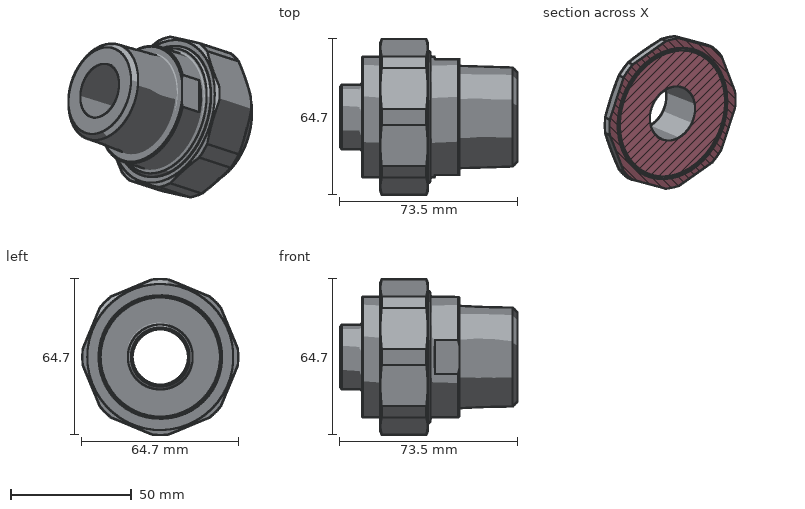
import cadquery as cq
import math


OVERALL_LENGTH = 73.5
BORE_RADIUS = 22.9 / 2
COLLAR_RADIUS = 50.0 / 2
THREAD_RADIUS = 55.85 / 2
REVOLVE_ANGLE = 360

NUT_START = 16.5
NUT_LENGTH = 20.0
NUT_END = NUT_START + NUT_LENGTH
NUT_CORNER_RADIUS = 64.68 / 2
NUT_SIDES = 8
NUT_ACROSS_FLATS = 62.0
NUT_BACK_CHAMFER = 0.8
NUT_FRONT_CHAMFER = 0.8
NUT_BACK_FACE_RADIUS = 30.25
NUT_FRONT_FACE_RADIUS = 30.4
NUT_LIP_RADIUS = 50.5 / 2
NUT_LIP_LENGTH = 4.0
NUT_LIP_CHAMFER = 0.35

SPIGOT_RADIUS = 26.9 / 2
SPIGOT_BEVEL_LENGTH = 0.75
SPIGOT_BEVEL_DEPTH = 1.25
SPIGOT_FILLET = 1.0
BORE_CHAMFER = 0.25
HUB_START = 9.15
HUB_CHAMFER = 0.3
FLANGE_START = NUT_START + NUT_LIP_LENGTH
FLANGE_LENGTH = 4.5
FLANGE_RADIUS = 54.0 / 2
FLANGE_END = FLANGE_START + FLANGE_LENGTH

UNION_THREAD_END = 37.5
UNION_THREAD_CHAMFER = 1.3
COLLAR_FILLET = 0.7
COLLAR_END = 49.4
COLLAR_CHAMFER = 0.5
PIPE_THREAD_FILLET = 0.65
PIPE_THREAD_START = COLLAR_END + PIPE_THREAD_FILLET
PIPE_THREAD_TIP_RADIUS = 20.57
PIPE_THREAD_TIP_CHAMFER = 2.1
PIPE_THREAD_TAPER = 1 / 32
PIPE_THREAD_TIP = OVERALL_LENGTH - PIPE_THREAD_TIP_CHAMFER
PIPE_THREAD_ROOT_RADIUS = PIPE_THREAD_TIP_RADIUS + PIPE_THREAD_TAPER * (PIPE_THREAD_TIP - PIPE_THREAD_START)
WRENCH_FLAT_START = 39.35
WRENCH_FLAT_DISTANCE = 48.0 / 2
WRENCH_FLAT_RUNOUT = 0.2


def fillet_middle(center_x, center_radius, fillet, direction):
    """Midpoint of a concave quarter-circle fillet, toward -X or +X from its centre."""
    offset = fillet * math.sqrt(0.5)
    return (center_x + direction * offset, center_radius - offset)


def revolve(profile):
    """Revolve a closed (x, radius) profile about the X axis."""
    return profile.close().revolve(REVOLVE_ANGLE, (0, 0, 0), (1, 0, 0))


def make_tailpiece():
    fillet_radius_end = SPIGOT_RADIUS + SPIGOT_FILLET
    fillet_start = HUB_START - SPIGOT_FILLET
    profile = (
        cq.Workplane("XY")
        .moveTo(BORE_CHAMFER, BORE_RADIUS)
        .lineTo(0, BORE_RADIUS + BORE_CHAMFER)
        .lineTo(0, SPIGOT_RADIUS - SPIGOT_BEVEL_DEPTH)
        .lineTo(SPIGOT_BEVEL_LENGTH, SPIGOT_RADIUS)
        .lineTo(fillet_start, SPIGOT_RADIUS)
        .threePointArc(
            fillet_middle(fillet_start, fillet_radius_end, SPIGOT_FILLET, 1),
            (HUB_START, fillet_radius_end),
        )
        .lineTo(HUB_START, COLLAR_RADIUS - HUB_CHAMFER)
        .lineTo(HUB_START + HUB_CHAMFER, COLLAR_RADIUS)
        .lineTo(FLANGE_START, COLLAR_RADIUS)
        .lineTo(FLANGE_START, FLANGE_RADIUS)
        .lineTo(FLANGE_END, FLANGE_RADIUS)
        .lineTo(FLANGE_END, BORE_RADIUS)
    )
    return revolve(profile)


def make_nut():
    blank = revolve(
        cq.Workplane("XY")
        .moveTo(NUT_START, NUT_LIP_RADIUS + NUT_LIP_CHAMFER)
        .lineTo(NUT_START, NUT_BACK_FACE_RADIUS)
        .lineTo(NUT_START + NUT_BACK_CHAMFER, NUT_CORNER_RADIUS)
        .lineTo(NUT_END - NUT_FRONT_CHAMFER, NUT_CORNER_RADIUS)
        .lineTo(NUT_END, NUT_FRONT_FACE_RADIUS)
        .lineTo(NUT_END, THREAD_RADIUS)
        .lineTo(FLANGE_START, THREAD_RADIUS)
        .lineTo(FLANGE_START, NUT_LIP_RADIUS)
        .lineTo(NUT_START + NUT_LIP_CHAMFER, NUT_LIP_RADIUS)
    )
    octagon_diameter = NUT_ACROSS_FLATS / math.cos(math.pi / NUT_SIDES)
    octagon = (
        cq.Workplane("YZ")
        .workplane(offset=NUT_START)
        .polygon(NUT_SIDES, octagon_diameter)
        .extrude(NUT_LENGTH)
    )
    return blank.intersect(octagon)


def make_wrench_flat_cutter():
    """Block above the +Y flat, with a slightly sloped end wall."""
    wall_slope = WRENCH_FLAT_RUNOUT / (COLLAR_RADIUS - WRENCH_FLAT_DISTANCE)
    cutter_top = 2 * COLLAR_RADIUS - WRENCH_FLAT_DISTANCE
    top_start = WRENCH_FLAT_START - wall_slope * (cutter_top - WRENCH_FLAT_DISTANCE)
    return (
        cq.Workplane("XY")
        .moveTo(WRENCH_FLAT_START, WRENCH_FLAT_DISTANCE)
        .lineTo(COLLAR_END, WRENCH_FLAT_DISTANCE)
        .lineTo(COLLAR_END, cutter_top)
        .lineTo(top_start, cutter_top)
        .close()
        .extrude(COLLAR_RADIUS, both=True)
    )


def make_male_end():
    collar_start = UNION_THREAD_END + COLLAR_FILLET
    collar_fillet_radius = COLLAR_RADIUS + COLLAR_FILLET
    pipe_fillet_radius = PIPE_THREAD_ROOT_RADIUS + PIPE_THREAD_FILLET
    profile = (
        cq.Workplane("XY")
        .moveTo(FLANGE_END, BORE_RADIUS)
        .lineTo(FLANGE_END, THREAD_RADIUS)
        .lineTo(UNION_THREAD_END - UNION_THREAD_CHAMFER, THREAD_RADIUS)
        .lineTo(UNION_THREAD_END, THREAD_RADIUS - UNION_THREAD_CHAMFER)
        .lineTo(UNION_THREAD_END, collar_fillet_radius)
        .threePointArc(
            fillet_middle(collar_start, collar_fillet_radius, COLLAR_FILLET, -1),
            (collar_start, COLLAR_RADIUS),
        )
        .lineTo(COLLAR_END - COLLAR_CHAMFER, COLLAR_RADIUS)
        .lineTo(COLLAR_END, COLLAR_RADIUS - COLLAR_CHAMFER)
        .lineTo(COLLAR_END, pipe_fillet_radius)
        .threePointArc(
            fillet_middle(PIPE_THREAD_START, pipe_fillet_radius, PIPE_THREAD_FILLET, -1),
            (PIPE_THREAD_START, PIPE_THREAD_ROOT_RADIUS),
        )
        .lineTo(PIPE_THREAD_TIP, PIPE_THREAD_TIP_RADIUS)
        .lineTo(OVERALL_LENGTH, PIPE_THREAD_TIP_RADIUS - PIPE_THREAD_TIP_CHAMFER)
        .lineTo(OVERALL_LENGTH, BORE_RADIUS)
    )
    male_end = revolve(profile)
    flat_cutter = make_wrench_flat_cutter()
    return male_end.cut(flat_cutter).cut(flat_cutter.mirror("XZ"))


tailpiece = make_tailpiece()
nut = make_nut()
male_end = make_male_end()

result = cq.Compound.makeCompound([tailpiece.solids().val(), nut.solids().val(), male_end.solids().val()])